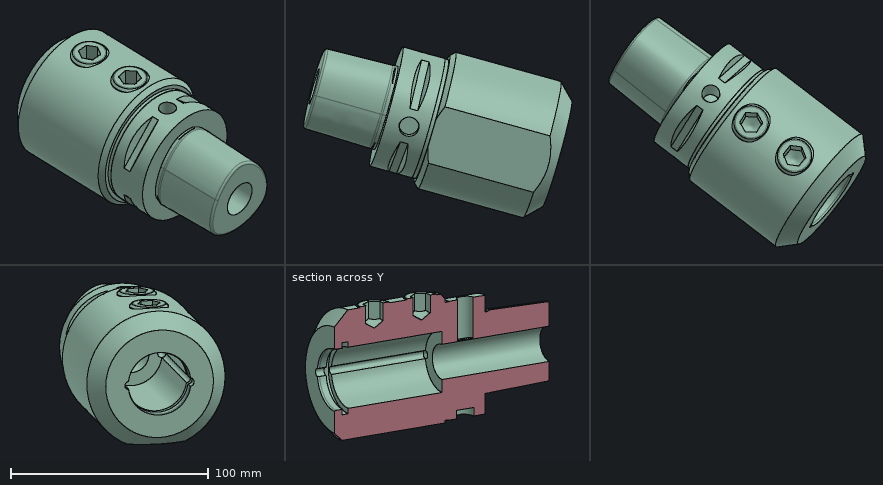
import cadquery as cq
import math


BODY_DIAMETER = 72.0
FRONT_CHAMFER = 8.0
BODY_END = 66.0
REAR_CHAMFER = 2.6
BOTTOM_FLAT_Z = -32.6

FLANGE_DIAMETER = 63.0
RELIEF_DIAMETER = 62.6
RELIEF_WIDTH = 2.0
FLANGE_END = 90.0

SLOT_X = 78.0
SLOT_ANGLES = (45, 135, 225, 315)
SLOT_FLOOR_RADIUS = 27.7
SLOT_FLOOR_WIDTH = 4.0
SLOT_WALL_ANGLE = 27.0
LOCATING_HOLE_DIAMETER = 9.0
LOCATING_HOLE_FLOOR_DIAMETER = 20.0
CHIP_POCKET_DIAMETER = 10.0
CHIP_POCKET_DEPTH = 4.5

SHANK_MEAN_DIAMETER = 44.0
LOBE_HEIGHT = 1.4
SHANK_LENGTH = 38.0
SHANK_TAPER = 1 / 20
SHANK_STRAIGHT = 2.0
SHANK_STEP_WIDTH = 1.0
SHANK_STEP_HEIGHT = 0.07
SHANK_END_FILLET = 1.2
LOBES = 3
SPLINE_STEPS = 16
NECK_RADIUS = 22.7
NECK_WIDTH = 1.3

BORE_DIAMETER = 32.0
BORE_DEPTH = 64.0
BORE_LEAD_IN_HEIGHT = 0.3
BORE_LEAD_IN_LENGTH = 1.1
THROUGH_DIAMETER = 18.38
SEAL_GROOVE_DIAMETER = 37.8
SEAL_GROOVE_START = 5.0
SEAL_GROOVE_WIDTH = 3.2
CHANNEL_DIAMETER = 4.25
CHANNEL_RADIUS = 15.85
DRILL_POINT_ANGLE = 118.0

SCREWS = ((24.0, 0.0), (52.0, 7.0))
SCREW_DIAMETER = 20.0
SCREW_TOP_Z = 36.5
SCREW_TOP_DIAMETER = 16.1
SCREW_RIM_DIAMETER = 17.4
SCREW_RIM_DROP = 0.15
SCREW_BOTTOM_Z = 20.0
SOCKET_SIDES = 6
SOCKET_WIDTH = 10.0
SOCKET_DEPTH = 9.0

BODY_RADIUS = BODY_DIAMETER / 2
FLANGE_RADIUS = FLANGE_DIAMETER / 2
TOTAL_LENGTH = FLANGE_END + SHANK_LENGTH


def cone_height(diameter):
    """Height of a drill point of the given diameter."""
    return diameter / 2 / math.tan(math.radians(DRILL_POINT_ANGLE / 2))


def revolve_about_x(points):
    """Solid of revolution about X from (x, radius) points."""
    return cq.Workplane("XY").polyline(points).close().revolve(360, (0, 0, 0), (1, 0, 0))


def cylinder_x(start, end, diameter):
    """Cylinder on the tool axis between two x positions."""
    return cq.Workplane("YZ", origin=(start, 0, 0)).circle(diameter / 2).extrude(end - start)


def make_body():
    body = revolve_about_x([
        (0, 0),
        (0, BODY_RADIUS - FRONT_CHAMFER),
        (FRONT_CHAMFER, BODY_RADIUS),
        (BODY_END - REAR_CHAMFER, BODY_RADIUS),
        (BODY_END, BODY_RADIUS - REAR_CHAMFER),
        (BODY_END, 0),
    ])
    below_flat = cq.Workplane("XY", origin=(BODY_END / 2, 0, BOTTOM_FLAT_Z)).rect(
        BODY_END, BODY_DIAMETER).extrude(-BODY_RADIUS)
    return body.cut(below_flat)


def make_flange():
    relief_end = BODY_END + RELIEF_WIDTH
    relief = cylinder_x(BODY_END, relief_end, RELIEF_DIAMETER)
    return relief.union(cylinder_x(relief_end, FLANGE_END, FLANGE_DIAMETER))


def slot_cutter():
    """Flared slot on the +Z side, open along Y."""
    half_floor = SLOT_FLOOR_WIDTH / 2
    depth = BODY_RADIUS - SLOT_FLOOR_RADIUS
    half_top = half_floor + depth * math.tan(math.radians(SLOT_WALL_ANGLE))
    profile = cq.Workplane("XZ", origin=(SLOT_X, 0, 0)).polyline([
        (-half_floor, SLOT_FLOOR_RADIUS),
        (half_floor, SLOT_FLOOR_RADIUS),
        (half_top, BODY_RADIUS),
        (-half_top, BODY_RADIUS),
    ]).close()
    return profile.extrude(FLANGE_RADIUS, both=True)


def locating_hole_cutter():
    """Radial hole on the +Z side whose floor is rounded around the tool axis."""
    hole = cq.Workplane("XY", origin=(SLOT_X, 0, 0)).circle(LOCATING_HOLE_DIAMETER / 2).extrude(BODY_RADIUS)
    return hole.cut(cylinder_x(BODY_END, FLANGE_END, LOCATING_HOLE_FLOOR_DIAMETER))


def chip_pocket_cutter():
    """Shallow flat-floored round pocket on the -Z side."""
    bottom = cq.Workplane("XY", origin=(SLOT_X, 0, -FLANGE_RADIUS))
    return bottom.circle(CHIP_POCKET_DIAMETER / 2).extrude(CHIP_POCKET_DEPTH)


def cut_flange_details(flange):
    for angle in SLOT_ANGLES:
        flange = flange.cut(slot_cutter().rotate((0, 0, 0), (1, 0, 0), angle))
    return flange.cut(locating_hole_cutter()).cut(chip_pocket_cutter())


def lobe_point(angle, mean_radius):
    """Point of the constant-width lobed curve whose tangent normal lies at the angle; one lobe is at +Z."""
    support = mean_radius - LOBE_HEIGHT * math.sin(LOBES * angle)
    slope = -LOBES * LOBE_HEIGHT * math.cos(LOBES * angle)
    y = support * math.cos(angle) - slope * math.sin(angle)
    z = support * math.sin(angle) + slope * math.cos(angle)
    return y, z


def lobed_wire(x, mean_radius):
    """Closed lobed section at x, made of three curves that meet halfway between the lobes."""
    edges = []
    span = 2 * math.pi / LOBES
    for lobe in range(LOBES):
        start = span / 4 + lobe * span
        points = []
        for step in range(SPLINE_STEPS + 1):
            y, z = lobe_point(start + span * step / SPLINE_STEPS, mean_radius)
            points.append(cq.Vector(x, y, z))
        tangents = [cq.Vector(0, -math.sin(a), math.cos(a)) for a in (start, start + span)]
        edges.append(cq.Edge.makeSpline(points, tangents=tangents))
    return cq.Wire.assembleEdges(edges)


def lobed_loft(start, start_radius, end, end_radius):
    """Ruled solid between two lobed sections."""
    return cq.Solid.makeLoft([lobed_wire(start, start_radius), lobed_wire(end, end_radius)], True)


def make_shank():
    """Straight lobed base with a round neck, a slight step down, then the long taper."""
    base_radius = SHANK_MEAN_DIAMETER / 2
    base_end = FLANGE_END + SHANK_STRAIGHT
    taper_start = base_end + SHANK_STEP_WIDTH
    taper_radius = base_radius - SHANK_STEP_HEIGHT
    tip_radius = taper_radius - (TOTAL_LENGTH - taper_start) * SHANK_TAPER / 2
    base = cq.Workplane(obj=lobed_loft(FLANGE_END, base_radius, base_end, base_radius))
    step = lobed_loft(base_end, base_radius, taper_start, taper_radius)
    taper = cq.Workplane(obj=lobed_loft(taper_start, taper_radius, TOTAL_LENGTH, tip_radius))
    taper = taper.faces(">X").edges().fillet(SHANK_END_FILLET)
    lobe_radius = base_radius + LOBE_HEIGHT
    outer_radius = lobe_radius + LOBE_HEIGHT
    neck = revolve_about_x([
        (FLANGE_END, NECK_RADIUS),
        (FLANGE_END + NECK_WIDTH, NECK_RADIUS),
        (base_end, lobe_radius),
        (base_end, outer_radius),
        (FLANGE_END, outer_radius),
    ])
    return base.cut(neck).union(cq.Workplane(obj=step)).union(taper)


def cut_bore(part):
    bore_radius = BORE_DIAMETER / 2
    part = part.cut(cylinder_x(0, TOTAL_LENGTH, THROUGH_DIAMETER))
    part = part.cut(revolve_about_x([
        (0, 0),
        (0, bore_radius + BORE_LEAD_IN_HEIGHT),
        (BORE_LEAD_IN_LENGTH, bore_radius),
        (BORE_DEPTH, bore_radius),
        (BORE_DEPTH, 0),
    ]))
    groove_end = SEAL_GROOVE_START + SEAL_GROOVE_WIDTH
    part = part.cut(cylinder_x(SEAL_GROOVE_START, groove_end, SEAL_GROOVE_DIAMETER))
    channel = revolve_about_x([
        (0, 0),
        (0, CHANNEL_DIAMETER / 2),
        (BORE_DEPTH, CHANNEL_DIAMETER / 2),
        (BORE_DEPTH + cone_height(CHANNEL_DIAMETER), 0),
    ])
    for side in (-1, 1):
        part = part.cut(channel.translate((0, side * CHANNEL_RADIUS, 0)))
    return part


def make_screw(x):
    """Outer half of a set screw, chamfered at its outer end."""
    radius = SCREW_DIAMETER / 2
    rim_radius = SCREW_RIM_DIAMETER / 2
    rim_z = SCREW_TOP_Z - SCREW_RIM_DROP
    profile = cq.Workplane("XZ").polyline([
        (0, SCREW_BOTTOM_Z),
        (radius, SCREW_BOTTOM_Z),
        (radius, rim_z - (radius - rim_radius)),
        (rim_radius, rim_z),
        (SCREW_TOP_DIAMETER / 2, SCREW_TOP_Z),
        (0, SCREW_TOP_Z),
    ]).close()
    return profile.revolve(360, (0, 0, 0), (0, 1, 0)).translate((x, 0, 0))


def socket_cutter(x, turn):
    """Hex socket with a conical floor; two of its flats face along X when the turn is zero."""
    half_side_angle = 180 / SOCKET_SIDES
    across_corners = SOCKET_WIDTH / math.cos(math.radians(half_side_angle))
    tip_height = cone_height(across_corners)
    depth = SOCKET_DEPTH + tip_height
    hexagon = cq.Workplane("XY").polygon(SOCKET_SIDES, across_corners).extrude(-depth)
    envelope = cq.Workplane("XZ").polyline([
        (0, 0),
        (across_corners / 2, 0),
        (across_corners / 2, -SOCKET_DEPTH),
        (0, -depth),
    ]).close().revolve(360, (0, 0, 0), (0, 1, 0))
    socket = hexagon.intersect(envelope)
    return socket.rotate((0, 0, 0), (0, 0, 1), half_side_angle + turn).translate((x, 0, SCREW_TOP_Z))


def add_screws(part):
    for x, turn in SCREWS:
        part = part.union(make_screw(x)).cut(socket_cutter(x, turn))
    return part


flange = cut_flange_details(make_flange())
holder = make_body().union(flange).union(make_shank())
result = add_screws(cut_bore(holder))